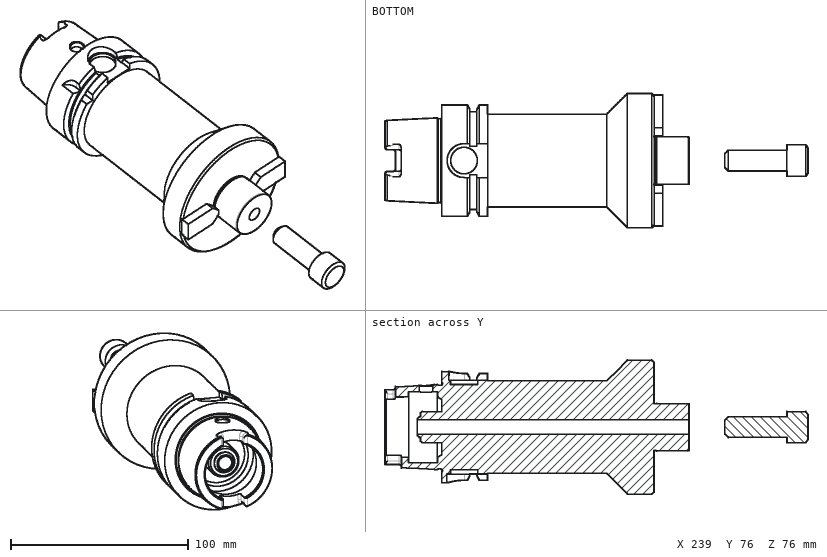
import cadquery as cq
import math


SHOULDER_X = 32.0
RIM_RADIUS = 22.7
RIM_CHAMFER_LENGTH = 1.2
RIM_CHAMFER_DEPTH = 0.5
TAPER_SLOPE = 0.05
UNDERCUT_LENGTH = 2.5
UNDERCUT_DEPTH = 0.5
RELIEF_RADIUS = 25.3
RELIEF_DEPTH = 0.5

FLANGE_RADIUS = 31.5
FLANGE_END_X = 58.0
GROOVE_START_X = 46.5
GROOVE_END_X = 53.3
GROOVE_FLANK_LENGTH = 1.5
GROOVE_FLANK_DEPTH = 2.6
GROOVE_RADIUS = 27.7

SHAFT_DIAMETER = 52.5
CONE_START_X = 125.2
HEAD_START_X = 137.0
HEAD_RADIUS = 38.0
HEAD_END_X = 152.0
HEAD_CHAMFER = 1.2

PILOT_DIAMETER = 27.0
PILOT_NECK_DIAMETER = 26.5
PILOT_NECK_LENGTH = 1.5
PILOT_NECK_RAMP = 0.7
PILOT_END_X = 171.8
PILOT_CHAMFER_LENGTH = 1.0
PILOT_CHAMFER_DEPTH = 0.2

LIP_DIAMETER = 34.0
LIP_CHAMFER = 0.7
LIP_END_X = 13.5
GRIP_DIAMETER = 40.0
FLOOR_CONE_X = 29.6
BORE_FLOOR_X = 32.0
BORE_FLOOR_RADIUS = 15.5

COLLAR_DIAMETER = 18.0
COLLAR_START_X = 20.0
COLLAR_CHAMFER = 1.0
TUBE_DIAMETER = 12.0
TUBE_START_X = 18.2
TUBE_CHAMFER = 1.2
COOLANT_DIAMETER = 8.0

NOTCH_WIDTH = 12.2
NOTCH_FILLET = 1.5
NOTCH_FLARE_RADIUS = 2.2
UPPER_NOTCH_DEPTH = 6.0
LOWER_NOTCH_DEPTH = 9.3

RADIAL_HOLE_X = 23.2
RADIAL_HOLE_DIAMETER = 7.5
RADIAL_HOLE_SINK = 0.7

SLOT_CENTRE_X = 44.7
UPPER_SLOT_WIDTH = 16.7
LOWER_SLOT_WIDTH = 19.1
SLOT_FLOOR_Z = 26.5
POCKET_DIAMETER = 15.0
POCKET_DEPTH = 2.5

MARK_CENTRE_X = 44.2
MARK_DIAMETER = 14.0
MARK_WALL_Y = -19.8
MARK_FLOOR_Z = 20.0

KEY_WIDTH = 12.5
KEY_START_X = 150.8
KEY_END_X = 157.0
KEY_INNER_Y = 13.9
KEY_OUTER_Y = 37.0
KEY_CHAMFER = 4.5

BOLT_START_X = 192.0
BOLT_DIAMETER = 12.0
BOLT_TIP_DIAMETER = 8.0
BOLT_HEAD_X = 227.0
BOLT_HEAD_DIAMETER = 18.0
BOLT_HEAD_CHAMFER_LENGTH = 1.2
BOLT_HEAD_CHAMFER_DEPTH = 2.0
BOLT_END_X = 239.0


def turned(points):
    """Solid of revolution about the X axis from an (x, radius) outline."""
    return cq.Workplane("XY").polyline(points).close().revolve(360, (0, 0, 0), (1, 0, 0))


def half_turned(body):
    """The body turned half a revolution about the X axis."""
    return body.rotate((0, 0, 0), (1, 0, 0), 180)


def taper_radius(x):
    return RIM_RADIUS + TAPER_SLOPE * x


def holder_blank():
    undercut_x = SHOULDER_X - UNDERCUT_LENGTH
    undercut_radius = taper_radius(undercut_x) - UNDERCUT_DEPTH
    shaft_radius = SHAFT_DIAMETER / 2
    neck_radius = PILOT_NECK_DIAMETER / 2
    neck_end_x = HEAD_END_X + PILOT_NECK_LENGTH
    pilot_radius = PILOT_DIAMETER / 2
    return turned([
        (0, 0),
        (0, taper_radius(RIM_CHAMFER_LENGTH) - RIM_CHAMFER_DEPTH),
        (RIM_CHAMFER_LENGTH, taper_radius(RIM_CHAMFER_LENGTH)),
        (undercut_x, taper_radius(undercut_x)),
        (undercut_x + UNDERCUT_DEPTH, undercut_radius),
        (SHOULDER_X - RELIEF_DEPTH, undercut_radius),
        (SHOULDER_X + RELIEF_DEPTH, undercut_radius + 2 * RELIEF_DEPTH),
        (SHOULDER_X, RELIEF_RADIUS),
        (SHOULDER_X, FLANGE_RADIUS),
        (FLANGE_END_X, FLANGE_RADIUS),
        (FLANGE_END_X, shaft_radius),
        (CONE_START_X, shaft_radius),
        (HEAD_START_X, HEAD_RADIUS),
        (HEAD_END_X - HEAD_CHAMFER, HEAD_RADIUS),
        (HEAD_END_X, HEAD_RADIUS - HEAD_CHAMFER),
        (HEAD_END_X, neck_radius),
        (neck_end_x - PILOT_NECK_RAMP, neck_radius),
        (neck_end_x, pilot_radius),
        (PILOT_END_X - PILOT_CHAMFER_LENGTH, pilot_radius),
        (PILOT_END_X, pilot_radius - PILOT_CHAMFER_DEPTH),
        (PILOT_END_X, 0),
    ])


def gripper_groove():
    """Ring cutter with radial walls and steep flanks toward the flange rim."""
    wall_start_x = GROOVE_START_X + GROOVE_FLANK_LENGTH
    wall_end_x = GROOVE_END_X - GROOVE_FLANK_LENGTH
    wall_radius = FLANGE_RADIUS - GROOVE_FLANK_DEPTH
    return turned([
        (GROOVE_START_X, FLANGE_RADIUS),
        (wall_start_x, wall_radius),
        (wall_start_x, GROOVE_RADIUS),
        (wall_end_x, GROOVE_RADIUS),
        (wall_end_x, wall_radius),
        (GROOVE_END_X, FLANGE_RADIUS),
    ])


def clamping_bore():
    """Lipped bore that leaves the coolant collar and tube standing, with the coolant hole."""
    lip_radius = LIP_DIAMETER / 2
    grip_radius = GRIP_DIAMETER / 2
    collar_radius = COLLAR_DIAMETER / 2
    tube_radius = TUBE_DIAMETER / 2
    coolant_radius = COOLANT_DIAMETER / 2
    return turned([
        (0, 0),
        (0, lip_radius + LIP_CHAMFER),
        (LIP_CHAMFER, lip_radius),
        (LIP_END_X, lip_radius),
        (LIP_END_X, grip_radius),
        (FLOOR_CONE_X, grip_radius),
        (FLOOR_CONE_X, lip_radius),
        (BORE_FLOOR_X, BORE_FLOOR_RADIUS),
        (BORE_FLOOR_X, collar_radius),
        (COLLAR_START_X + COLLAR_CHAMFER, collar_radius),
        (COLLAR_START_X, collar_radius - COLLAR_CHAMFER),
        (COLLAR_START_X, tube_radius),
        (TUBE_START_X + TUBE_CHAMFER, tube_radius),
        (TUBE_START_X, tube_radius - TUBE_CHAMFER),
        (TUBE_START_X, coolant_radius),
        (PILOT_END_X, coolant_radius),
        (PILOT_END_X, 0),
    ])


def drive_notch(depth):
    """Cutter for a notch across the upper rim wall, flared outward and rounded at the rim face."""
    half_width = NOTCH_WIDTH / 2
    top_z = taper_radius(depth) + NOTCH_FLARE_RADIUS
    flare = NOTCH_FLARE_RADIUS
    outer_radius = taper_radius(depth / 2)

    flare_y = half_width + flare
    flare_z = math.sqrt((outer_radius - flare) ** 2 - flare_y ** 2)
    tangent_scale = outer_radius / (outer_radius - flare)
    contact = (flare_y * tangent_scale, flare_z * tangent_scale)
    middle_angle = (math.pi + math.atan2(flare_z, flare_y)) / 2
    middle = (flare_y + flare * math.cos(middle_angle), flare_z + flare * math.sin(middle_angle))

    channel = (
        cq.Workplane("YZ")
        .moveTo(-half_width, 0)
        .lineTo(half_width, 0)
        .lineTo(half_width, flare_z)
        .threePointArc(middle, contact)
        .lineTo(contact[0], top_z)
        .lineTo(-contact[0], top_z)
        .lineTo(-contact[0], contact[1])
        .threePointArc((-middle[0], middle[1]), (-half_width, flare_z))
        .close()
        .extrude(depth)
        .faces(">X").edges("not #Z").fillet(NOTCH_FILLET)
    )

    bend = NOTCH_FILLET * (1 - math.sqrt(0.5))
    mouth = (
        cq.Workplane("XY")
        .moveTo(0, -half_width - NOTCH_FILLET)
        .threePointArc((bend, -half_width - bend), (NOTCH_FILLET, -half_width))
        .lineTo(NOTCH_FILLET, half_width)
        .threePointArc((bend, half_width + bend), (0, half_width + NOTCH_FILLET))
        .close()
        .extrude(top_z)
    )
    return channel.union(mouth)


def radial_hole():
    """Sunk hole from the top of the shank into the bore."""
    radius = RADIAL_HOLE_DIAMETER / 2
    surface_z = taper_radius(RADIAL_HOLE_X)
    sink_floor_z = surface_z - RADIAL_HOLE_SINK
    hole = cq.Workplane("XY").workplane(offset=LIP_DIAMETER / 2).circle(radius)
    hole = hole.extrude(surface_z - LIP_DIAMETER / 2)
    sink = cq.Workplane("XY").workplane(offset=sink_floor_z).circle(radius)
    sink = sink.workplane(offset=2 * RADIAL_HOLE_SINK).circle(radius + 2 * RADIAL_HOLE_SINK).loft()
    return hole.union(sink).translate((RADIAL_HOLE_X, 0, 0))


def round_ended_slot(centre_x, width, floor_z):
    """Cutter with a round end at centre_x, running out through the end of the flange."""
    radius = width / 2
    return (
        cq.Workplane("XY")
        .workplane(offset=floor_z)
        .moveTo(FLANGE_END_X, radius)
        .lineTo(centre_x, radius)
        .threePointArc((centre_x - radius, 0), (centre_x, -radius))
        .lineTo(FLANGE_END_X, -radius)
        .close()
        .extrude(FLANGE_RADIUS - floor_z)
    )


def flange_slot(width):
    slot = round_ended_slot(SLOT_CENTRE_X, width, SLOT_FLOOR_Z)
    pocket = (
        cq.Workplane("XY")
        .workplane(offset=SLOT_FLOOR_Z)
        .center(SLOT_CENTRE_X, 0)
        .circle(POCKET_DIAMETER / 2)
        .extrude(-POCKET_DEPTH)
    )
    return slot.union(pocket)


def orientation_notch():
    notch = round_ended_slot(MARK_CENTRE_X, MARK_DIAMETER, MARK_FLOOR_Z)
    return notch.translate((0, MARK_WALL_Y - MARK_DIAMETER / 2, 0))


def drive_key():
    """Key on the +Y side of the head face, its inner end chamfered on both sides."""
    return (
        cq.Workplane("XY")
        .box(KEY_END_X - KEY_START_X, KEY_OUTER_Y - KEY_INNER_Y, KEY_WIDTH)
        .edges("|X and <Y").chamfer(KEY_CHAMFER)
        .translate(((KEY_START_X + KEY_END_X) / 2, (KEY_INNER_Y + KEY_OUTER_Y) / 2, 0))
    )


def build_holder():
    key = drive_key()
    return (
        holder_blank()
        .cut(gripper_groove())
        .cut(clamping_bore())
        .cut(drive_notch(UPPER_NOTCH_DEPTH))
        .cut(half_turned(drive_notch(LOWER_NOTCH_DEPTH)))
        .cut(radial_hole())
        .cut(flange_slot(UPPER_SLOT_WIDTH))
        .cut(half_turned(flange_slot(LOWER_SLOT_WIDTH)))
        .cut(orientation_notch())
        .union(key)
        .union(half_turned(key))
    )


def build_bolt():
    radius = BOLT_DIAMETER / 2
    tip_radius = BOLT_TIP_DIAMETER / 2
    head_radius = BOLT_HEAD_DIAMETER / 2
    return turned([
        (BOLT_START_X, 0),
        (BOLT_START_X, tip_radius),
        (BOLT_START_X + radius - tip_radius, radius),
        (BOLT_HEAD_X, radius),
        (BOLT_HEAD_X, head_radius),
        (BOLT_END_X - BOLT_HEAD_CHAMFER_LENGTH, head_radius),
        (BOLT_END_X, head_radius - BOLT_HEAD_CHAMFER_DEPTH),
        (BOLT_END_X, 0),
    ])


holder = build_holder()
bolt = build_bolt()

result = cq.Compound.makeCompound([holder.val(), bolt.val()])